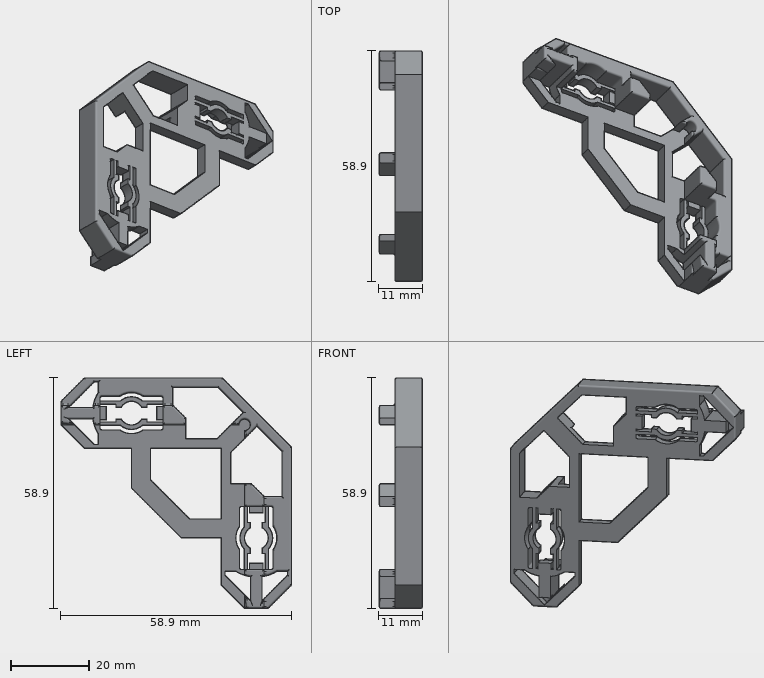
import cadquery as cq
import math

LEG_LENGTH = 58.88
LEG_WIDTH = 18.0
BACK_X = 11.0
PLATE_FRONT_X = 8.0
RIM_FRONT_X = 4.0
PIN_FRONT_X = 0.0

CORNER_CUT = 17.7
TIP_CUT = 6.0
BRACE_INNER = 36.0
BRACE_HOLE_CUT = 62.0
BRACE_SLOPE_CUT = 69.0
RIM_DEPTH = 12.0
RELIEF_RADIUS = 1.45
EDGE_RADIUS = 0.5
SLAB_MARGIN = 5.0

RIM_WALL = 2.5
WEB_OFFSET = 3.5
POCKET_DEPTH = 15.5
TIP_POCKET_WALL = 1.05

CLIP_ALONG = LEG_LENGTH - LEG_WIDTH
CLIP_ACROSS = LEG_WIDTH / 2
CLIP_HALF_LENGTH = 8.0
WINDOW_HALF_WIDTH = 4.25
WINDOW_BULGE_RADIUS = 5.2
WINDOW_CORNER_RADIUS = 0.4
BEAM_OUTER = 3.15
BEAM_INNER = 2.25
BEAM_BULGE_RADIUS = 4.2
SNAP_HOLE_RADIUS = 3.0
LIP_HALF_LENGTH = 4.0
LIP_HALF_GAP = 1.5
STOP_LENGTH = 1.6
STOP_WIDTH = 3.5

PIN_TOP = 7.0
POST_WALL = 2.6
POST_ALONG = 27.0
PAD_RADIUS = 10.0
STEM_WIDTH = 3.0
TIP_TAPER = 0.5

CLIP_NEAR = CLIP_ALONG - CLIP_HALF_LENGTH
CLIP_FAR = CLIP_ALONG + CLIP_HALF_LENGTH
POCKET_END = CLIP_NEAR - POST_WALL
TIP_POCKET_START = CLIP_FAR + EDGE_RADIUS
DIAGONAL_WALL = RIM_WALL * math.sqrt(2)
ALONG_TIP = LEG_LENGTH - TIP_CUT
POST_SLOPE = POCKET_END - POST_ALONG


def prism(points, front, back):
    """Extrude an (along, across) outline of the upper leg between two X levels."""
    outline = [(along, -across) for along, across in points]
    return cq.Workplane("YZ").workplane(offset=front).polyline(outline).close().extrude(back - front)


def block(along, across, front, back):
    """Box from (low, high) ranges along and across the upper leg."""
    (a0, a1), (b0, b1) = along, across
    return prism([(a0, b0), (a1, b0), (a1, b1), (a0, b1)], front, back)


def disc(along, across, radius, front, back):
    return (
        cq.Workplane("YZ").workplane(offset=front)
        .center(along, -across).circle(radius).extrude(back - front)
    )


def clip_block(half_length, half_width, front, back):
    """Box centred on the clip."""
    return block(
        (CLIP_ALONG - half_length, CLIP_ALONG + half_length),
        (CLIP_ACROSS - half_width, CLIP_ACROSS + half_width),
        front, back,
    )


def clip_disc(radius, front, back):
    return disc(CLIP_ALONG, CLIP_ACROSS, radius, front, back)


def mirrored(shape):
    """Same shape on the other leg."""
    return shape.mirror(cq.Vector(0, 1, 1))


def cut_both(body, cutter):
    return body.cut(cutter).cut(mirrored(cutter))


def add_both(body, addition):
    return body.union(addition).union(mirrored(addition))


def in_rim(edge):
    """True for edges lying along the outer sides of the bracket."""
    middle = edge.Center()
    return middle.y < RIM_DEPTH or -middle.z < RIM_DEPTH


def blank():
    """Both legs and the brace, full rim thickness, with the outer edges rounded."""
    half = [
        (CORNER_CUT, 0),
        (ALONG_TIP, 0),
        (LEG_LENGTH, TIP_CUT),
        (LEG_LENGTH, LEG_WIDTH - TIP_CUT),
        (ALONG_TIP, LEG_WIDTH),
        (CLIP_ALONG, LEG_WIDTH),
        (CLIP_ALONG, BRACE_SLOPE_CUT - CLIP_ALONG),
    ]
    other_half = [(across, along) for along, across in reversed(half)]
    body = prism(half + other_half, RIM_FRONT_X, BACK_X)
    return body.faces("|X").edges().filter(in_rim).fillet(EDGE_RADIUS)


def brace_hole():
    slope_end = BRACE_HOLE_CUT - BRACE_INNER
    return prism(
        [
            (LEG_WIDTH, LEG_WIDTH),
            (BRACE_INNER, LEG_WIDTH),
            (BRACE_INNER, slope_end),
            (slope_end, BRACE_INNER),
            (LEG_WIDTH, BRACE_INNER),
        ],
        RIM_FRONT_X, BACK_X,
    )


def corner_pocket():
    """Pocket between the outer corner bevel, the corner web and the post."""
    bevel_sum = CORNER_CUT + DIAGONAL_WALL
    apex = (bevel_sum + WEB_OFFSET) / 2
    return prism(
        [
            (bevel_sum - RIM_WALL, RIM_WALL),
            (POCKET_END, RIM_WALL),
            (POCKET_END, PIN_TOP),
            (POST_ALONG, PIN_TOP + POST_SLOPE),
            (POST_ALONG, POCKET_DEPTH),
            (POCKET_DEPTH + WEB_OFFSET, POCKET_DEPTH),
            (apex, apex - WEB_OFFSET),
        ],
        RIM_FRONT_X, BACK_X,
    )


def tip_pocket():
    """Pocket in the leg tip, trimmed by the round pad around the clip."""
    low = TIP_POCKET_WALL
    high = LEG_WIDTH - TIP_POCKET_WALL
    slope = ALONG_TIP - DIAGONAL_WALL
    pocket = prism(
        [
            (TIP_POCKET_START, low),
            (slope + low, low),
            (slope + CLIP_ACROSS, CLIP_ACROSS),
            (slope + low, high),
            (TIP_POCKET_START, high),
        ],
        PIN_FRONT_X, BACK_X,
    )
    return pocket.cut(clip_disc(PAD_RADIUS, PIN_FRONT_X, BACK_X))


def clip_window():
    window = clip_block(CLIP_HALF_LENGTH, WINDOW_HALF_WIDTH, RIM_FRONT_X, BACK_X)
    window = window.edges("|X").fillet(WINDOW_CORNER_RADIUS)
    return window.union(clip_disc(WINDOW_BULGE_RADIUS, RIM_FRONT_X, BACK_X))


def spring_clip():
    """Two bowed beams with gripping lips, and a stop at each end of the window."""
    front = PLATE_FRONT_X
    beams = clip_block(CLIP_HALF_LENGTH, BEAM_OUTER, front, BACK_X)
    beams = beams.union(clip_disc(BEAM_BULGE_RADIUS, front, BACK_X))
    beams = beams.cut(clip_block(CLIP_HALF_LENGTH, LIP_HALF_GAP, front, BACK_X))
    beams = beams.cut(clip_disc(SNAP_HOLE_RADIUS, front, BACK_X))
    end_length = CLIP_HALF_LENGTH - LIP_HALF_LENGTH
    for start in (CLIP_NEAR, CLIP_FAR - end_length):
        gap = block(
            (start, start + end_length),
            (CLIP_ACROSS - BEAM_INNER, CLIP_ACROSS + BEAM_INNER),
            front, BACK_X,
        )
        beams = beams.cut(gap)
    for start in (CLIP_NEAR, CLIP_FAR - STOP_LENGTH):
        stop = block(
            (start, start + STOP_LENGTH),
            (CLIP_ACROSS - STOP_WIDTH / 2, CLIP_ACROSS + STOP_WIDTH / 2),
            front, BACK_X,
        )
        beams = beams.union(stop)
    return beams


def post():
    """Bevelled locating pin between the clip and the corner pocket."""
    pin = prism(
        [
            (CLIP_NEAR, PIN_TOP),
            (POCKET_END, PIN_TOP),
            (POST_ALONG, PIN_TOP + POST_SLOPE),
            (POST_ALONG, RIM_DEPTH),
            (CLIP_NEAR, RIM_DEPTH),
        ],
        PIN_FRONT_X, BACK_X,
    )
    return pin.faces("<X").edges().fillet(EDGE_RADIUS)


def pin_root(start, end):
    """Concave fillet where the top of a pin meets the front of the rim."""
    low = RIM_FRONT_X - EDGE_RADIUS
    across = PIN_TOP - EDGE_RADIUS
    root = block((start, end), (across, PIN_TOP), low, RIM_FRONT_X)
    scoop = (
        cq.Workplane("XZ", origin=(0, start, 0))
        .center(low, -across).circle(EDGE_RADIUS).extrude(start - end)
    )
    return root.cut(scoop)


def pin_roots():
    """Root fillets of the post, the crossbar and the tip bar, on the flat front of the rim."""
    pad_rise = CLIP_ACROSS - PIN_TOP + EDGE_RADIUS
    pad_reach = math.sqrt((PAD_RADIUS - EDGE_RADIUS) ** 2 - pad_rise ** 2)
    tip_start = ALONG_TIP - DIAGONAL_WALL + PIN_TOP + EDGE_RADIUS * math.sqrt(2)
    return [
        pin_root(POCKET_END + EDGE_RADIUS, CLIP_NEAR - EDGE_RADIUS),
        pin_root(CLIP_FAR + EDGE_RADIUS, CLIP_ALONG + pad_reach),
        pin_root(tip_start, LEG_LENGTH - EDGE_RADIUS),
    ]


def stem():
    """Bar across the tip pocket, from the clip window to the end of the leg."""
    half = STEM_WIDTH / 2
    across = (CLIP_ACROSS - half, CLIP_ACROSS + half)
    flush = block((CLIP_FAR, LEG_LENGTH), across, PIN_FRONT_X, PLATE_FRONT_X)
    return flush.union(block((CLIP_FAR, LEG_LENGTH - RIM_WALL), across, PLATE_FRONT_X, BACK_X))


def tip_pin():
    """I-shaped locating pin: round-backed crossbar, stem and bevelled tip bar."""
    taper_start = ALONG_TIP + LEG_WIDTH - DIAGONAL_WALL - RIM_DEPTH
    pin = prism(
        [
            (CLIP_FAR, PIN_TOP),
            (LEG_LENGTH, PIN_TOP),
            (LEG_LENGTH, RIM_DEPTH - TIP_TAPER),
            (taper_start, RIM_DEPTH),
            (CLIP_FAR, RIM_DEPTH),
        ],
        PIN_FRONT_X, PLATE_FRONT_X,
    )
    pin = pin.cut(tip_pocket()).union(stem())
    return pin.faces("<X").edges().fillet(EDGE_RADIUS)


def rim_and_plate():
    """Stepped slab with all openings and rounded opening edges, larger than the outline."""
    start = -SLAB_MARGIN
    end = LEG_LENGTH + SLAB_MARGIN
    slab = block((start, end), (start, end), RIM_FRONT_X, BACK_X)
    slab = slab.cut(block((RIM_DEPTH, end), (RIM_DEPTH, end), RIM_FRONT_X, PLATE_FRONT_X))
    slab = slab.cut(disc(RIM_DEPTH, RIM_DEPTH, RELIEF_RADIUS, RIM_FRONT_X, PLATE_FRONT_X))
    for cutter in (corner_pocket(), tip_pocket(), clip_window()):
        slab = cut_both(slab, cutter)
    return slab.faces("<X").edges().fillet(EDGE_RADIUS).cut(brace_hole())


def build():
    body = blank().intersect(rim_and_plate())
    for addition in (spring_clip(), post(), tip_pin(), *pin_roots()):
        body = add_both(body, addition)
    return body


result = build()